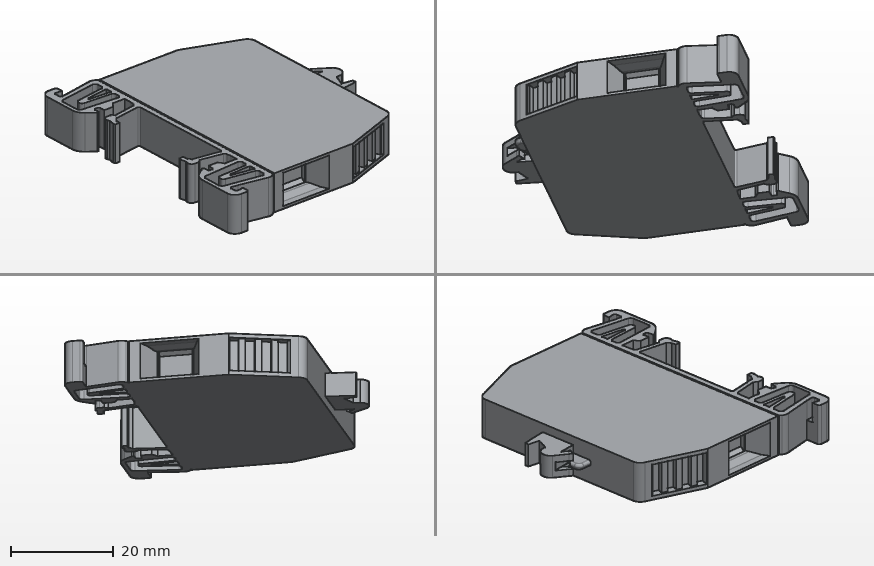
import cadquery as cq
import math

THICKNESS = 8.5
OVERALL_WIDTH = 58.15
OVERALL_DEPTH = 53.56

BODY_HALF_WIDTH = 26.4
BODY_TOP = 46.55
SHOULDER_Y = 32.5
TOP_HALF_WIDTH = 21.2
TOP_CORNER_RADIUS = 2.0

FLANGE_TOP = 12.55
FLANGE_BOTTOM = 10.95
FLANGE_HALF_WIDTH = 25.5
PARTING_GROOVE_WIDTH = 0.2
PARTING_GROOVE_DEPTH = 0.2

LOUVRE_MARGIN = 0.85
LOUVRE_TOP = 43.8
LOUVRE_BOTTOM = 32.7
LOUVRE_DEPTH = 1.8
FIN_COUNT = 4
FIN_PITCH = 3.0
FIRST_FIN_BOTTOM = 34.4
FIN_WIDTH = 1.2
FIN_SETBACK = 0.5

WINDOW_MARGIN = 0.62
WINDOW_BOTTOM = 14.8
WINDOW_TOP = 26.5
WINDOW_THROAT_BOTTOM = 17.1
WINDOW_THROAT_TOP = 24.4
WINDOW_STRAIGHT_DEPTH = 1.7
WINDOW_TAPER_DEPTH = 3.9
WINDOW_FUNNEL_DEPTH = 4.6
WINDOW_THROAT_MARGIN = 1.0
WINDOW_FLOOR_DEPTH = 5.5
WINDOW_FLOOR_MARGIN = 1.75
WINDOW_FLOOR_BOTTOM = 17.4
WINDOW_FLOOR_TOP = 24.1

FOOT_OUTER_X = -OVERALL_WIDTH / 2
FOOT_TOP = FLANGE_TOP - PARTING_GROOVE_WIDTH
FOOT_INNER_X = -16.92
HOOK_TOP = 3.85
HOOK_WEB_HEIGHT = THICKNESS / 2
HOOK_CORNER_RADIUS = 1.9
HOOK_TIP_RADIUS = 0.5
FLANGE_TIP_RADIUS = 1.9
NOTCH_RADIUS = 0.3
TONGUE_TIP_RADIUS = 0.65
SLIT_TIP_RADIUS = 0.2
HOOK_GAP_RADIUS = 0.35
JAW_CORNER_RADIUS = 3.0
FOOT_CAVITY_RADIUS = 0.8
TONGUE_ROOT_RADIUS = 0.7

ARM_OUTER_ROOT_RADIUS = 0.6
ARM_INNER_ROOT_RADIUS = 0.35
ARM_HEEL_RADIUS = 1.0

CLIP_HEIGHT = 4.8
CLIP_BOTTOM = (THICKNESS - CLIP_HEIGHT) / 2
CLIP_CREST_X = -2.4
LEVER_SLOT_HEIGHT = 1.8
BLADE_THICKNESS = 1.3
BLADE_CORNER_RADIUS = 1.3
BLADE_EDGE_RADIUS = 0.6

OVERLAP = 0.5


def prism(points, bottom=0.0, height=THICKNESS):
    """Extrude a closed XY polygon upward from the given Z."""
    return cq.Workplane("XY").workplane(offset=bottom).polyline(points).close().extrude(height)


def round_corners(solid, radius, corners):
    """Fillet the vertical edges that stand on the given XY corners."""
    for x, y in corners:
        nearest = cq.selectors.NearestToPointSelector((x, y, solid.val().Center().z))
        solid = solid.edges("|Z").edges(nearest).fillet(radius)
    return solid


def mirrored(solid):
    """Right-hand counterpart of a left-hand feature."""
    return solid.mirror("YZ")


def make_housing():
    top_corners = [(-TOP_HALF_WIDTH, BODY_TOP), (TOP_HALF_WIDTH, BODY_TOP)]
    housing = prism([
        (-BODY_HALF_WIDTH, FLANGE_TOP - OVERLAP),
        (-BODY_HALF_WIDTH, SHOULDER_Y),
        *top_corners,
        (BODY_HALF_WIDTH, SHOULDER_Y),
        (BODY_HALF_WIDTH, FLANGE_TOP - OVERLAP),
    ])
    return round_corners(housing, TOP_CORNER_RADIUS, top_corners)


def make_parting_groove():
    """Groove along the front line of the housing, on the upper face and both sides."""
    strip = cq.Workplane("XY").box(
        OVERALL_WIDTH, PARTING_GROOVE_WIDTH, THICKNESS, centered=(True, True, False)
    )
    core = cq.Workplane("XY").box(
        2 * (BODY_HALF_WIDTH - PARTING_GROOVE_DEPTH),
        PARTING_GROOVE_WIDTH,
        THICKNESS - PARTING_GROOVE_DEPTH,
        centered=(True, True, False),
    )
    return strip.cut(core).translate((0, FLANGE_TOP - PARTING_GROOVE_WIDTH / 2, 0))


def shoulder_x(y):
    """X of the left sloping shoulder at a given Y."""
    rise = (y - SHOULDER_Y) / (BODY_TOP - SHOULDER_Y)
    return -BODY_HALF_WIDTH + rise * (BODY_HALF_WIDTH - TOP_HALF_WIDTH)


def shoulder_band(y_low, y_high, start_depth=0.0):
    """Block square to the left shoulder, from a start depth down to the louvre floor."""
    angle = math.atan2(BODY_TOP - SHOULDER_Y, BODY_HALF_WIDTH - TOP_HALF_WIDTH)

    def sunk(y, depth):
        return (shoulder_x(y) + depth * math.sin(angle), y - depth * math.cos(angle))

    points = [
        sunk(y_low, start_depth),
        sunk(y_high, start_depth),
        sunk(y_high, LOUVRE_DEPTH),
        sunk(y_low, LOUVRE_DEPTH),
    ]
    return prism(points, LOUVRE_MARGIN, THICKNESS - 2 * LOUVRE_MARGIN)


def make_louvres():
    """Recess whose fins stand just below the shoulder; its top edge clips the last fin."""
    recess = shoulder_band(LOUVRE_BOTTOM, LOUVRE_TOP)
    for index in range(FIN_COUNT):
        fin_bottom = FIRST_FIN_BOTTOM + index * FIN_PITCH
        recess = recess.cut(shoulder_band(fin_bottom, fin_bottom + FIN_WIDTH, FIN_SETBACK))
    return recess


def window_section(depth, y_low, y_high, margin):
    """Rectangle parallel to the left side wall, at a depth inside it."""
    height = THICKNESS - 2 * margin
    centre = (-BODY_HALF_WIDTH + depth, (y_low + y_high) / 2, THICKNESS / 2)
    return cq.Workplane("YZ", origin=centre).rect(y_high - y_low, height).wires().val()


def funnel_section(depth, margin):
    """Window section whose Y sides close in evenly with depth."""
    share = depth / WINDOW_FUNNEL_DEPTH
    y_low = WINDOW_BOTTOM + share * (WINDOW_THROAT_BOTTOM - WINDOW_BOTTOM)
    y_high = WINDOW_TOP + share * (WINDOW_THROAT_TOP - WINDOW_TOP)
    return window_section(depth, y_low, y_high, margin)


def make_window():
    """Pocket that narrows in steps toward a flat floor."""
    funnel = [
        funnel_section(0, WINDOW_MARGIN),
        funnel_section(WINDOW_STRAIGHT_DEPTH, WINDOW_MARGIN),
        funnel_section(WINDOW_TAPER_DEPTH, WINDOW_THROAT_MARGIN),
        funnel_section(WINDOW_FUNNEL_DEPTH, WINDOW_THROAT_MARGIN),
    ]
    neck = window_section(
        WINDOW_FUNNEL_DEPTH, WINDOW_FLOOR_BOTTOM, WINDOW_FLOOR_TOP, WINDOW_THROAT_MARGIN
    )
    floor = window_section(
        WINDOW_FLOOR_DEPTH, WINDOW_FLOOR_BOTTOM, WINDOW_FLOOR_TOP, WINDOW_FLOOR_MARGIN
    )
    pocket = cq.Workplane(cq.Solid.makeLoft(funnel, True))
    return pocket.union(cq.Workplane(cq.Solid.makeLoft([neck, floor], True)))


def make_flange():
    slab_height = FLANGE_TOP - FLANGE_BOTTOM
    return cq.Workplane("XY").box(
        2 * FLANGE_HALF_WIDTH, slab_height, THICKNESS, centered=(True, False, False)
    ).translate((0, FLANGE_BOTTOM, 0))


def make_foot():
    """Left rail foot: hooked outer end, hollow spring frame and notched inner jaw."""
    flange_tip = (-27.2, 11.3)
    hook_low = (FOOT_OUTER_X, 0)
    hook_high = (FOOT_OUTER_X, HOOK_TOP)
    jaw_corner = (-18.16, 0)
    notch_corners = [(-17.33, 3.6), (-17.33, 4.75)]
    foot = prism([
        (-BODY_HALF_WIDTH, FOOT_TOP),
        flange_tip,
        (-25.78, HOOK_TOP),
        hook_high,
        hook_low,
        jaw_corner,
        (-15.8, 3.1),
        (-15.8, 3.45),
        *notch_corners,
        (-15.7, 4.85),
        (-15.7, 7.1),
        (FOOT_INNER_X, 7.95),
        (FOOT_INNER_X, FOOT_TOP),
    ])
    foot = round_corners(foot, HOOK_CORNER_RADIUS, [hook_low])
    foot = round_corners(foot, JAW_CORNER_RADIUS, [jaw_corner])
    foot = round_corners(foot, FLANGE_TIP_RADIUS, [flange_tip])
    foot = round_corners(foot, HOOK_TIP_RADIUS, [hook_high])
    foot = round_corners(foot, NOTCH_RADIUS, notch_corners)
    return foot.cut(make_foot_cavity()).cut(make_hook_gap())


def make_foot_cavity():
    """Opening of the spring frame around a hollow V-shaped tongue."""
    top_corners = [(-25.75, FLANGE_BOTTOM), (-18.05, FLANGE_BOTTOM)]
    bottom_corners = [(-18.75, 0.95), (-24.15, 0.95)]
    tongue_roots = [(-23.3, FLANGE_BOTTOM), (-20.15, FLANGE_BOTTOM)]
    tongue_tip = [(-20.55, 3.1), (-22.05, 3.1)]
    slit_tip = [(-21.2, 5.6), (-21.62, 5.6)]

    cavity = prism([
        top_corners[0],
        tongue_roots[0],
        tongue_tip[1],
        tongue_tip[0],
        tongue_roots[1],
        top_corners[1],
        *bottom_corners,
    ])
    cavity = round_corners(cavity, FOOT_CAVITY_RADIUS, bottom_corners)
    cavity = round_corners(cavity, TONGUE_ROOT_RADIUS, top_corners + tongue_roots)
    cavity = round_corners(cavity, TONGUE_TIP_RADIUS, tongue_tip)
    slit = prism([(-22.43, FLANGE_BOTTOM), (-20.95, FLANGE_BOTTOM), *slit_tip])
    slit = round_corners(slit, SLIT_TIP_RADIUS, slit_tip)
    return cavity.union(slit)


def make_hook_gap():
    """Gap behind the hook, closed at its lower end by a web."""
    gap_bottom = [(-27.45, 1.95), (-25.55, 1.95)]
    gap = prism(
        [(-27.25, HOOK_TOP), (-27.45, 2.9), *gap_bottom, (-25.78, HOOK_TOP)],
        HOOK_WEB_HEIGHT,
        THICKNESS - HOOK_WEB_HEIGHT,
    )
    return round_corners(gap, HOOK_GAP_RADIUS, gap_bottom)


def make_rail_arm():
    """Left inner arm with a barbed tip, with the stretch of flange it hangs from."""
    outer_root = (-13.65, 10.75)
    inner_root = (-12.55, FLANGE_BOTTOM)
    heel = (-13.27, 2.5)
    arm = prism([
        (FOOT_INNER_X, FOOT_TOP),
        (FOOT_INNER_X, FLANGE_BOTTOM),
        (-15.1, FLANGE_BOTTOM),
        outer_root,
        (-12.66, 5.15),
        (-13.27, 4.45),
        heel,
        (-12.0, 2.45),
        (-11.45, 2.65),
        (-10.15, 2.35),
        (-9.6, 2.5),
        (-9.6, 3.6),
        (-10.64, 3.65),
        (-11.5, 4.28),
        inner_root,
        (-11.5, FLANGE_BOTTOM),
        (-11.5, FOOT_TOP),
    ])
    arm = round_corners(arm, ARM_OUTER_ROOT_RADIUS, [outer_root])
    arm = round_corners(arm, ARM_HEEL_RADIUS, [heel])
    return round_corners(arm, ARM_INNER_ROOT_RADIUS, [inner_root])


def make_clip():
    """Marker clip: domed lever on the left, post on the right."""
    lever_root = (-4.09, 50.3)
    base_left = (-3.66, BODY_TOP - OVERLAP)
    clip = (
        cq.Workplane("XY")
        .workplane(offset=CLIP_BOTTOM)
        .moveTo(*base_left)
        .lineTo(*lever_root)
        .lineTo(-5.0, 49.2)
        .lineTo(-4.85, 48.6)
        .lineTo(-6.37, 49.35)
        .lineTo(-5.86, 50.07)
        .lineTo(-4.05, 52.85)
        .threePointArc((CLIP_CREST_X, OVERALL_DEPTH), (-0.6, 52.3))
        .lineTo(-0.45, 50.95)
        .lineTo(2.3, 49.8)
        .lineTo(2.72, 52.4)
        .lineTo(3.6, 52.4)
        .lineTo(4.5, BODY_TOP - OVERLAP)
        .close()
        .extrude(CLIP_HEIGHT)
    )
    return clip.cut(make_lever_slot())


def make_lever_slot():
    """Slot through the lever that lets the blade pass."""
    return prism(
        [(-7.0, 48.0), (-3.83, 48.0), (-4.3, 52.2), (-7.0, 52.2)],
        (THICKNESS - LEVER_SLOT_HEIGHT) / 2,
        LEVER_SLOT_HEIGHT,
    )


def make_blade():
    """Thin rounded blade that reaches under the lever."""
    corner = (-8.45, 49.9)
    outline = [
        (-8.45, BODY_TOP - OVERLAP),
        corner,
        (-6.0, 49.9),
        (-4.93, 48.4),
        (-3.7, 48.4),
        (-3.3, BODY_TOP - OVERLAP),
    ]
    blade = prism(outline, (THICKNESS - BLADE_THICKNESS) / 2, BLADE_THICKNESS)
    blade = round_corners(blade, BLADE_CORNER_RADIUS, [corner])
    return blade.edges("<X and |Y").edges("<Z or >Z").fillet(BLADE_EDGE_RADIUS)


housing = make_housing().union(make_flange())
result = housing.union(make_clip()).union(make_blade())
for part in (make_foot(), make_rail_arm()):
    result = result.union(part).union(mirrored(part))
for pocket in (make_louvres(), make_window()):
    result = result.cut(pocket).cut(mirrored(pocket))
result = result.cut(make_parting_groove())